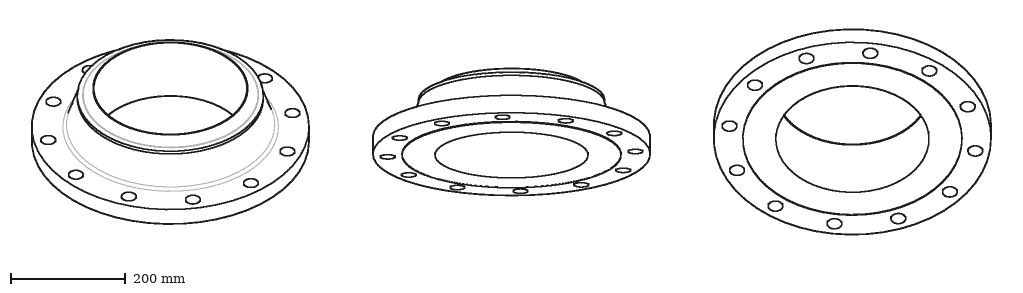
import cadquery as cq
import math

flange_diameter = 482.5
flange_top = 33.5
raised_face_diameter = 381.0
raised_face_height = 1.6

bolt_count = 12
bolt_hole_diameter = 25.5
bolt_circle_diameter = 432.0

total_height = 116.0
bore_diameter = 266.5
hub_base_diameter = 365.0
hub_base_fillet = 6.8
collar_diameter = 323.5
collar_bottom = 94.5

land_width = 1.6
steep_bevel_angle = 37.5
shallow_bevel_angle = 10.0
bevel_break_diameter = 305.0
bevel_break_fillet = 3.0

bore_radius = bore_diameter / 2
collar_radius = collar_diameter / 2
bevel_break_radius = bevel_break_diameter / 2
land_radius = bore_radius + land_width


def bevel_drop(inner_radius, outer_radius, angle):
    """Height lost along a bevel inclined at angle degrees to the horizontal."""
    return (outer_radius - inner_radius) * math.tan(math.radians(angle))


bevel_break_z = total_height - bevel_drop(land_radius, bevel_break_radius, steep_bevel_angle)
collar_top = bevel_break_z - bevel_drop(bevel_break_radius, collar_radius, shallow_bevel_angle)


def circle_edge(radius, z):
    """Select edges of the revolved body lying at the given radius and height."""
    tolerance = 0.05
    reach = radius + tolerance
    return cq.selectors.BoxSelector(
        (-reach, -reach, z - tolerance), (reach, reach, z + tolerance), boundingbox=True
    )


def revolved_body():
    """Flange, raised face, hub and weld preparation, revolved about Z."""
    profile = [
        (bore_radius, 0),
        (raised_face_diameter / 2, 0),
        (raised_face_diameter / 2, raised_face_height),
        (flange_diameter / 2, raised_face_height),
        (flange_diameter / 2, flange_top),
        (hub_base_diameter / 2, flange_top),
        (collar_radius, collar_bottom),
        (collar_radius, collar_top),
        (bevel_break_radius, bevel_break_z),
        (land_radius, total_height),
        (bore_radius, total_height),
    ]
    body = cq.Workplane("XZ").polyline(profile).close().revolve(360, (0, 0), (0, 1))
    body = body.edges(circle_edge(hub_base_diameter / 2, flange_top)).fillet(hub_base_fillet)
    return body.edges(circle_edge(bevel_break_radius, bevel_break_z)).fillet(bevel_break_fillet)


def bolt_holes():
    """Cylinders that cut the bolt holes through the flange plate."""
    return (
        cq.Workplane("XY")
        .polarArray(bolt_circle_diameter / 2, 0, 360, bolt_count)
        .circle(bolt_hole_diameter / 2)
        .extrude(flange_top)
    )


result = revolved_body().cut(bolt_holes())